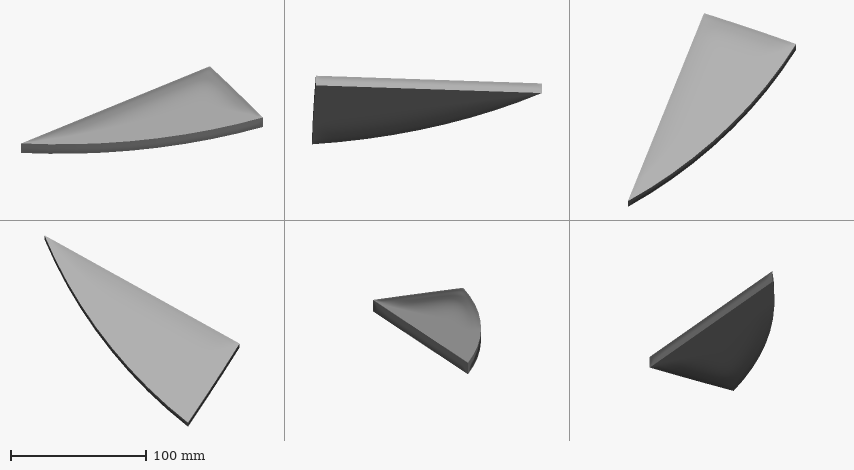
import cadquery as cq
import math

width = 99.7
length = 165.3
thickness = 9.0

tip = (0.0, 0.0)
back_corner = (28.0, length)
outer_corner = (width, 151.8)

end_bulge = 0.3
side_bulge = 11.4


def arc_midpoint(start, end, bulge):
    """Middle point of an arc that bulges to the right of start -> end."""
    run = end[0] - start[0]
    rise = end[1] - start[1]
    chord = math.hypot(run, rise)
    middle_x = (start[0] + end[0]) / 2
    middle_y = (start[1] + end[1]) / 2
    return (middle_x + bulge * rise / chord, middle_y - bulge * run / chord)


result = (
    cq.Workplane("XY")
    .moveTo(*tip)
    .threePointArc(arc_midpoint(tip, outer_corner, side_bulge), outer_corner)
    .threePointArc(arc_midpoint(outer_corner, back_corner, end_bulge), back_corner)
    .close()
    .extrude(thickness)
)